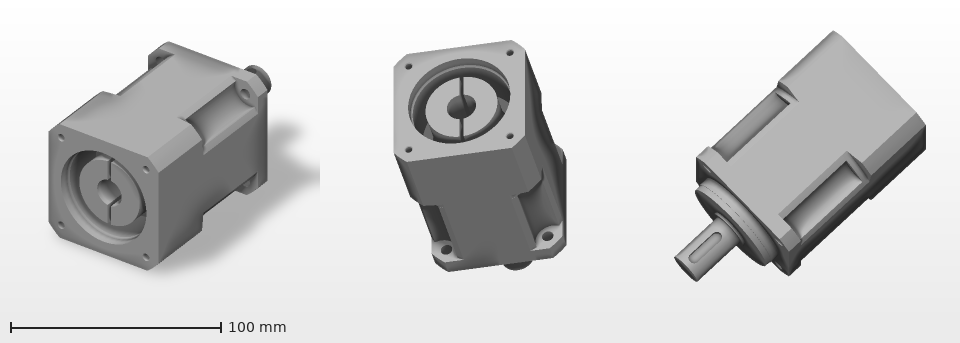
import cadquery as cq

CONE_START = 35.9
CONE_END = 37.0
SEAM = 40.1
FLANGE_BACK = 82.1
FLANGE_FACE = 90.0
PILOT_STEP = 95.0
PILOT_END = 98.0
COLLAR_END = 99.3
SHAFT_END = 127.3

WIDTH = 64.0
CORNER_RADIUS = 41.0
WAIST_RADIUS = 35.9

SCREW_OFFSET = 24.7
FLANGE_HOLE_RADIUS = 2.8
TAPPED_RADIUS = 1.7
TAPPED_MOUTH_RADIUS = 2.0
TAPPED_DEPTH = 12.7
TAPPED_TIP_DEPTH = 13.7

SCALLOP_OFFSET = 27.1
SCALLOP_RADIUS = 8.4

PILOT_RADIUS = 25.0
PILOT_TIP_RADIUS = 24.6
COLLAR_RADIUS = 10.2
SHAFT_RADIUS = 8.0
KEY_WIDTH = 5.1
KEY_LENGTH = 20.0
KEY_DEPTH = 3.0
KEY_TO_SHAFT_END = 2.8

BORE_RADIUS = 25.0
BORE_DEPTH = 5.3
BORE_TAPER_END = 6.4
INNER_BORE_RADIUS = 24.2
INNER_BORE_DEPTH = 28.0
HUB_CLEARANCE_RADIUS = 19.1
HUB_RADIUS = 17.6
HUB_NECK_RADIUS = 15.0
HUB_FACE = 4.8
HUB_HEAD_END = 30.0
HUB_HOLE_RADIUS = 7.1
HUB_HOLE_DEPTH = 31.8
SLOT_WIDTH = 2.0


def corner_points(offset):
    """The four (x, z) points on the diagonals at an equal offset along X and Z."""
    return [(x, z) for x in (-offset, offset) for z in (-offset, offset)]


def cylinder(radius, start, end, center=(0, 0)):
    """Cylinder along Y between two stations, centred at (x, z)."""
    x, z = center
    return cq.Workplane("XZ", origin=(x, start, z)).circle(radius).extrude(start - end)


def cone(start_radius, end_radius, start, end, center=(0, 0)):
    """Truncated cone along Y between two stations, centred at (x, z)."""
    x, z = center
    base = cq.Vector(x, start, z)
    axis = cq.Vector(0, 1, 0)
    return cq.Workplane(cq.Solid.makeCone(start_radius, end_radius, end - start, base, axis))


def square_bar(start, end):
    """Square bar along Y between two stations."""
    return cq.Workplane("XZ", origin=(0, start, 0)).rect(WIDTH, WIDTH).extrude(start - end)


def make_adapter():
    """Motor adapter: square block with rounded corners, stepped bore and blind screw holes."""
    profile = cylinder(CORNER_RADIUS, 0, CONE_START)
    profile = profile.union(cone(CORNER_RADIUS, WAIST_RADIUS, CONE_START, CONE_END))
    profile = profile.union(cylinder(WAIST_RADIUS, CONE_END, SEAM))
    block = square_bar(0, SEAM).intersect(profile)

    block = block.cut(cylinder(BORE_RADIUS, 0, BORE_DEPTH))
    block = block.cut(cone(BORE_RADIUS, INNER_BORE_RADIUS, BORE_DEPTH, BORE_TAPER_END))
    block = block.cut(cylinder(INNER_BORE_RADIUS, BORE_TAPER_END, INNER_BORE_DEPTH))
    block = block.cut(cylinder(HUB_CLEARANCE_RADIUS, INNER_BORE_DEPTH, SEAM))

    mouth_depth = TAPPED_MOUTH_RADIUS - TAPPED_RADIUS
    for center in corner_points(SCREW_OFFSET):
        block = block.cut(cylinder(TAPPED_RADIUS, 0, TAPPED_DEPTH, center))
        block = block.cut(cone(TAPPED_RADIUS, 0, TAPPED_DEPTH, TAPPED_TIP_DEPTH, center))
        block = block.cut(cone(TAPPED_MOUTH_RADIUS, TAPPED_RADIUS, 0, mouth_depth, center))
    return block


def make_housing():
    """Square housing with a drilled end flange, a scalloped waist and a stepped pilot."""
    waist = cylinder(WAIST_RADIUS, SEAM, FLANGE_BACK)
    for center in corner_points(SCALLOP_OFFSET):
        waist = waist.cut(cylinder(SCALLOP_RADIUS, SEAM, FLANGE_BACK, center))
    flange = cylinder(CORNER_RADIUS, FLANGE_BACK, FLANGE_FACE)
    for center in corner_points(SCREW_OFFSET):
        flange = flange.cut(cylinder(FLANGE_HOLE_RADIUS, FLANGE_BACK, FLANGE_FACE, center))
    housing = square_bar(SEAM, FLANGE_FACE).intersect(waist.union(flange))

    housing = housing.union(cylinder(PILOT_RADIUS, FLANGE_FACE, PILOT_STEP))
    return housing.union(cylinder(PILOT_TIP_RADIUS, PILOT_STEP, PILOT_END))


def make_shaft():
    """Output shaft with its collar and a round-ended keyway on the +Z side."""
    shaft = cylinder(COLLAR_RADIUS, PILOT_END, COLLAR_END)
    shaft = shaft.union(cylinder(SHAFT_RADIUS, PILOT_END, SHAFT_END))
    key_center = SHAFT_END - KEY_TO_SHAFT_END - KEY_LENGTH / 2
    keyway = (
        cq.Workplane("XY", origin=(0, key_center, SHAFT_RADIUS - KEY_DEPTH))
        .slot2D(KEY_LENGTH, KEY_WIDTH, 90)
        .extrude(SHAFT_RADIUS)
    )
    return shaft.cut(keyway)


def make_hub():
    """Clamp hub: a head split by a slot, on a narrower neck, bored for the motor shaft."""
    head = cylinder(HUB_RADIUS, HUB_FACE, HUB_HEAD_END)
    head_length = HUB_HEAD_END - HUB_FACE
    slot = cq.Workplane("XY").box(SLOT_WIDTH, head_length, 2 * HUB_RADIUS)
    head = head.cut(slot.translate((0, HUB_FACE + head_length / 2, 0)))
    hub = head.union(cylinder(HUB_NECK_RADIUS, HUB_HEAD_END, SEAM))
    return hub.cut(cylinder(HUB_HOLE_RADIUS, HUB_FACE, HUB_FACE + HUB_HOLE_DEPTH))


def make_gearbox():
    """Gearbox: housing, output shaft and clamp hub as one solid."""
    return make_housing().union(make_shaft()).union(make_hub())


adapter = make_adapter()
gearbox = make_gearbox()
result = cq.Compound.makeCompound([adapter.val(), gearbox.val()])